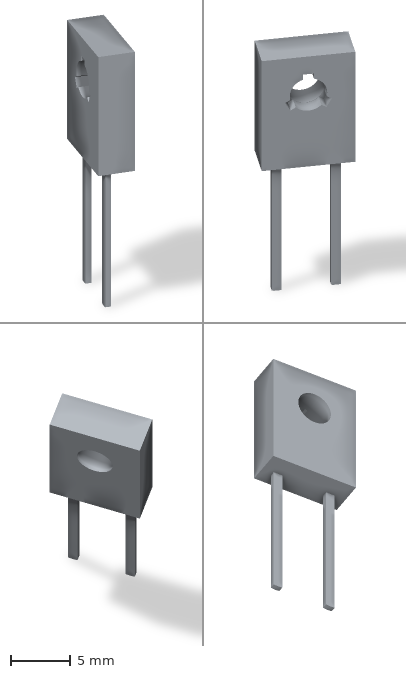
import cadquery as cq
import math

total_height = 23.75
body_width = 8.0
body_depth = 3.25
body_height = 11.0
body_bottom = total_height - body_height
front_y = -body_depth / 2

hole_z = 19.95
front_hole_diameter = 3.2
rear_hole_diameter = 3.15
keyway_reach = 2.05
keyway_width = 0.93
keyway_count = 3
recess_depth = 1.25

lead_pitch = 5.08
lead_width = 0.83
lead_thickness = 0.5
lead_front_gap = 1.0
tip_diameter = 4.0


def hole_workplane():
    """Sketch plane on the front face, centred on the hole, with its normal along -Y."""
    return cq.Workplane("XZ", origin=(0, front_y, hole_z))


def make_body():
    return cq.Workplane("XY", origin=(0, 0, body_bottom)).box(
        body_width, body_depth, body_height, centered=(True, True, False)
    )


def make_keyway(angle):
    """Flat-ended radial slot, pointing up before it is turned about the hole axis."""
    return (
        hole_workplane()
        .transformed(rotate=(0, 0, angle))
        .center(0, keyway_reach / 2)
        .rect(keyway_width, keyway_reach)
        .extrude(-recess_depth)
    )


def make_hole():
    rear = hole_workplane().circle(rear_hole_diameter / 2).extrude(-body_depth)
    front = hole_workplane().circle(front_hole_diameter / 2).extrude(-recess_depth)
    hole = rear.union(front)
    for index in range(keyway_count):
        hole = hole.union(make_keyway(index * 360 / keyway_count))
    return hole


def make_lead(center_x):
    half_width = lead_width / 2
    tip_radius = tip_diameter / 2
    tip_rise = tip_radius - math.sqrt(tip_radius**2 - half_width**2)
    return (
        cq.Workplane("XZ", origin=(center_x, front_y + lead_front_gap, 0))
        .moveTo(-half_width, body_bottom)
        .lineTo(-half_width, tip_rise)
        .threePointArc((0, 0), (half_width, tip_rise))
        .lineTo(half_width, body_bottom)
        .close()
        .extrude(-lead_thickness)
    )


result = make_body().cut(make_hole())
for side in (-1, 1):
    result = result.union(make_lead(side * lead_pitch / 2))